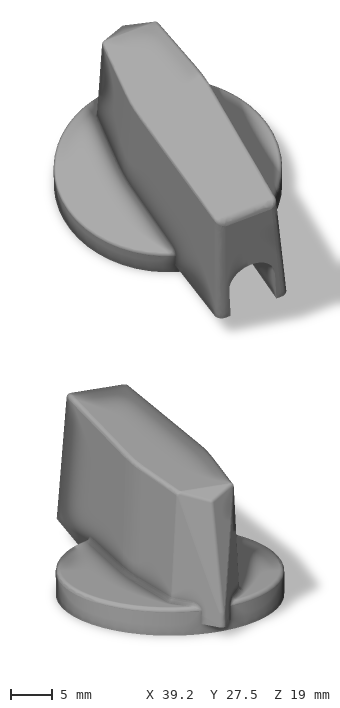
import cadquery as cq
import math



def tan(degrees):
    return math.tan(math.radians(degrees))


disc_radius = 27.5 / 2
disc_height = 3.5

edge_radius = 0.5
tail_radius = 1.02

length = 39.22
nose_x = -15.7
tail_x = nose_x + length
overall_height = 18.95
underside_z = 1.3
top_slope = 2.6
blank_height = overall_height + 1.95

corner_x = -10.45
corner_half_width = 4.6
bulge_start_x = -2.75
bulge_end_x = 1.4
front_flare = 7.0
rear_taper = 2.4
side_draft = 3.0
bulge_lean = 2.2

overhang_x = 12.55
tail_lip_z = 2.47
tail_draft = 5.0
top_end_x = tail_x - (overall_height - tail_lip_z) * tan(tail_draft) - tail_radius

opening_half_width = 3.05
opening_spring_z = 6.82

tip_setback = 0.3
sharp_tip_x = nose_x - tip_setback
nose_apex = cq.Vector(-12.47, 0, 16.45)
facet_foot_z = 1.8
skirt_z = 3.92

cutter_size = 3 * length
tolerance = 0.05


def top_z(x):
    """Height of the sloping top face, which is full height where the tail edge begins to round."""
    return overall_height + (x - top_end_x) * tan(top_slope)


def corner_half_width_at(z):
    return corner_half_width - (z - underside_z) * tan(side_draft)


def sharp_tip_x_at(z):
    """Tip position that keeps the nose sides parallel at every height."""
    return corner_x - (corner_x - sharp_tip_x) * corner_half_width_at(z) / corner_half_width


def tail_x_at(z):
    return tail_x - (z - tail_lip_z) * tan(tail_draft)


def corner_point(side, z):
    """Point on the nose corner at height z; side is 1 for +Y and -1 for -Y."""
    return cq.Vector(corner_x, side * corner_half_width_at(z), z)


def handle_outline(z):
    """Plan outline of the handle at height z, with sharp corners and tangent bulges."""
    lean = (z - underside_z) * tan(bulge_lean)
    start_x = bulge_start_x + lean
    end_x = bulge_end_x + lean
    corner_y = corner_half_width_at(z)
    start_y = corner_y + (start_x - corner_x) * tan(front_flare)
    end_y = start_y + (end_x - start_x) * tan((front_flare - rear_taper) / 2)
    end_of_tail = tail_x_at(z)
    tail_y = end_y - (end_of_tail - end_x) * tan(rear_taper)
    return (
        cq.Workplane("XY", origin=(0, 0, z))
        .moveTo(sharp_tip_x_at(z), 0)
        .lineTo(corner_x, corner_y)
        .lineTo(start_x, start_y)
        .tangentArcPoint((end_x, end_y), relative=False)
        .lineTo(end_of_tail, tail_y)
        .lineTo(end_of_tail, -tail_y)
        .lineTo(end_x, -end_y)
        .tangentArcPoint((start_x, -start_y), relative=False)
        .lineTo(corner_x, -corner_y)
        .close()
        .val()
    )


def beyond_plane(a, b, c):
    """Block on the outer side of the plane through a, b and c, away from the middle of the handle."""
    middle = cq.Vector(0, 0, overall_height / 2)
    normal = (b - a).cross(c - a)
    if normal.dot(a - middle) < 0:
        normal = normal * -1
    return cq.Workplane(cq.Plane(a, b - a, normal)).rect(cutter_size, cutter_size).extrude(cutter_size)


def make_handle_blank():
    outlines = [handle_outline(underside_z), handle_outline(blank_height)]
    return cq.Workplane(cq.Solid.makeLoft(outlines, True))


def trim_top_and_underside(handle):
    """Slope the top down to the nose, and slope the underside of the overhang up to the tail."""
    left_corner = corner_point(1, top_z(corner_x))
    right_corner = corner_point(-1, top_z(corner_x))
    top_end = cq.Vector(top_end_x, 0, overall_height)
    overhang_left = cq.Vector(overhang_x, disc_radius, underside_z)
    overhang_right = cq.Vector(overhang_x, -disc_radius, underside_z)
    tail_lip = cq.Vector(tail_x, 0, tail_lip_z)
    handle = handle.cut(beyond_plane(left_corner, right_corner, top_end))
    return handle.cut(beyond_plane(overhang_left, overhang_right, tail_lip))


def trim_nose(handle):
    """Cut the top triangle, the two slanting facets and the upright skirt below them."""
    left_corner = corner_point(1, top_z(corner_x))
    right_corner = corner_point(-1, top_z(corner_x))
    handle = handle.cut(beyond_plane(left_corner, right_corner, nose_apex))

    facet_foot = cq.Vector(sharp_tip_x_at(facet_foot_z), 0, facet_foot_z)
    tip = cq.Vector(sharp_tip_x, 0, underside_z)
    for side, top_corner in ((1, left_corner), (-1, right_corner)):
        handle = handle.cut(beyond_plane(nose_apex, top_corner, facet_foot))
        skirt_top = corner_point(side, skirt_z)
        skirt_foot = cq.Vector(skirt_top.x, skirt_top.y, underside_z)
        handle = handle.cut(beyond_plane(tip, skirt_top, skirt_foot))
    return handle


def round_tail(handle):
    """Round the two upright tail corners and the top tail edge."""
    return handle.faces(">X").edges("not <Z").fillet(tail_radius)


def is_nose_edge(edge):
    """True for the upright tip, the corners and the facet edges, but not the skirt or the bottom."""
    box = edge.BoundingBox()
    on_nose = edge.Center().x < corner_x + tolerance
    is_tip = box.ymax - box.ymin < tolerance
    return on_nose and (is_tip or box.zmax > skirt_z + tolerance)


def is_top_side_edge(edge):
    """True for the edges of the top face, apart from the smooth one where the tail rounding begins."""
    on_top = edge.BoundingBox().zmin > top_z(corner_x) - tolerance
    return on_top and edge.Center().x < top_end_x


def round_nose_and_top(handle):
    edges = [edge for edge in handle.edges().vals() if is_nose_edge(edge) or is_top_side_edge(edge)]
    return handle.newObject(edges).fillet(edge_radius)


def add_disc(handle):
    """Join the base disc to the handle, with its rim and the handle root rounded."""
    disc = cq.Workplane("XY").circle(disc_radius).extrude(disc_height)
    in_disc_top = cq.selectors.BoxSelector(
        (-length, -length, disc_height - tolerance),
        (length, length, disc_height + tolerance),
        boundingbox=True,
    )
    return handle.union(disc).edges(in_disc_top).fillet(edge_radius)


def cut_tail_opening(knob):
    """Run the round-topped opening through the overhang, from the tail to the disc."""
    opening = (
        cq.Workplane("YZ", origin=(disc_radius, 0, 0))
        .moveTo(-opening_half_width, 0)
        .lineTo(-opening_half_width, opening_spring_z)
        .threePointArc((0, opening_spring_z + opening_half_width), (opening_half_width, opening_spring_z))
        .lineTo(opening_half_width, 0)
        .close()
        .extrude(length)
    )
    return knob.cut(opening)


def make_knob():
    handle = make_handle_blank()
    handle = trim_top_and_underside(handle)
    handle = trim_nose(handle)
    handle = round_tail(handle)
    handle = round_nose_and_top(handle)
    return cut_tail_opening(add_disc(handle))


knob = make_knob()
result = cq.Compound.makeCompound([knob.val()])